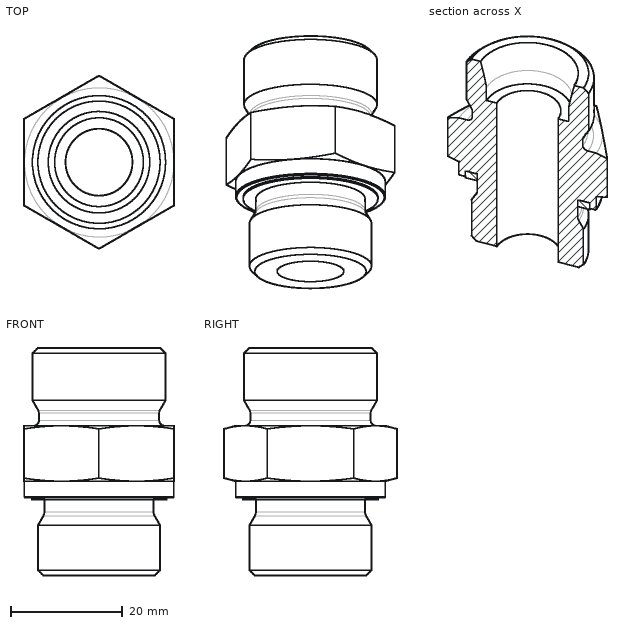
import cadquery as cq
import math

total_height = 41.0
hex_bottom = 16.97
hex_top = 26.98
collar_bottom = 14.0
seal_bottom = 13.7

hex_across_flats = 27.0
hex_face_diameter = 26.9
hex_chamfer_angle = 15.0
collar_diameter = 26.98
collar_chamfer = 0.2

upper_thread_diameter = 24.0
upper_thread_bottom = 31.53
upper_neck_diameter = 21.7
upper_neck_fillet = 1.0
upper_runout_fillet = 1.0

lower_thread_diameter = 22.0
lower_thread_top = 9.05
lower_neck_diameter = 19.7
lower_runout_fillet = 1.4
thread_chamfer = 1.0

runout_half_angle = 30.0

bore_diameter = 12.0
socket_diameter = 16.0
socket_depth = 8.5
cone_mouth_diameter = 18.3
cone_half_angle = 12.0

seal_diameter = 24.3
seal_groove_depth = 1.25


def cone_length(large_diameter, small_diameter, half_angle):
    """Axial length of a cone between two diameters."""
    return (large_diameter - small_diameter) / 2 / math.tan(math.radians(half_angle))


def disc(diameter, bottom, top):
    """Cylinder on the Z axis between two levels."""
    return cq.Workplane("XY", origin=(0, 0, bottom)).circle(diameter / 2).extrude(top - bottom)


def revolve_profile(points):
    """Solid of revolution about Z from (radius, z) points."""
    return cq.Workplane("XZ").polyline(points).close().revolve(360, (0, 0, 0), (0, 1, 0))


def make_thread_end(thread_diameter, neck_diameter, neck_length, runout_length, thread_length, runout_fillet):
    """Neck, run-out cone and chamfered thread, rising from z = 0."""
    neck_radius = neck_diameter / 2
    thread_radius = thread_diameter / 2
    runout_end = neck_length + runout_length
    end = runout_end + thread_length
    blank = revolve_profile([
        (0, 0),
        (neck_radius, 0),
        (neck_radius, neck_length),
        (thread_radius, runout_end),
        (thread_radius, end),
        (0, end),
    ])
    pick_margin = runout_length / 2
    runout_foot = cq.selectors.BoxSelector(
        (-thread_diameter, -thread_diameter, neck_length - pick_margin),
        (thread_diameter, thread_diameter, neck_length + pick_margin),
    )
    chamfered = blank.faces(">Z").edges().chamfer(thread_chamfer)
    return chamfered.edges("%CIRCLE").edges(runout_foot).fillet(runout_fillet)


def make_hexagon():
    """Hexagon with flats facing +X and -X and conical chamfers at both ends."""
    corner_diameter = hex_across_flats / math.cos(math.radians(30))
    prism = (
        cq.Workplane("XY", origin=(0, 0, hex_bottom))
        .polygon(6, corner_diameter)
        .extrude(hex_top - hex_bottom)
        .rotate((0, 0, 0), (0, 0, 1), 30)
    )
    face_radius = hex_face_diameter / 2
    corner_radius = corner_diameter / 2
    chamfer_height = (corner_radius - face_radius) * math.tan(math.radians(hex_chamfer_angle))
    envelope = revolve_profile([
        (0, hex_bottom),
        (face_radius, hex_bottom),
        (corner_radius, hex_bottom + chamfer_height),
        (corner_radius, hex_top - chamfer_height),
        (face_radius, hex_top),
        (0, hex_top),
    ])
    return prism.intersect(envelope)


def make_upper_end():
    """Tube-side thread with a concave fillet where its neck meets the hexagon."""
    runout_length = cone_length(upper_thread_diameter, upper_neck_diameter, runout_half_angle)
    neck_length = upper_thread_bottom - runout_length - hex_top
    thread_length = total_height - upper_thread_bottom
    end = make_thread_end(
        upper_thread_diameter, upper_neck_diameter, neck_length, runout_length, thread_length, upper_runout_fillet
    ).translate((0, 0, hex_top))
    neck_radius = upper_neck_diameter / 2
    foot_radius = neck_radius + upper_neck_fillet
    fillet_top = hex_top + upper_neck_fillet
    arc_offset = upper_neck_fillet * (1 - math.sqrt(0.5))
    foot = (
        cq.Workplane("XZ")
        .moveTo(0, hex_top)
        .lineTo(foot_radius, hex_top)
        .threePointArc((neck_radius + arc_offset, hex_top + arc_offset), (neck_radius, fillet_top))
        .lineTo(0, fillet_top)
        .close()
        .revolve(360, (0, 0, 0), (0, 1, 0))
    )
    return end.union(foot)


def make_lower_end():
    """Port-side thread, pointing down, with its neck reaching up to the hexagon."""
    runout_length = cone_length(lower_thread_diameter, lower_neck_diameter, runout_half_angle)
    neck_length = hex_bottom - lower_thread_top - runout_length
    return make_thread_end(
        lower_thread_diameter, lower_neck_diameter, neck_length, runout_length, lower_thread_top, lower_runout_fillet
    ).rotate((0, 0, 0), (1, 0, 0), 180).translate((0, 0, hex_bottom))


def make_bore():
    """Through bore, tube socket and conical mouth, as one cutting tool."""
    socket_radius = socket_diameter / 2
    bore_radius = bore_diameter / 2
    socket_floor = total_height - socket_depth
    cone_bottom = total_height - cone_length(cone_mouth_diameter, socket_diameter, cone_half_angle)
    return revolve_profile([
        (0, 0),
        (bore_radius, 0),
        (bore_radius, socket_floor),
        (socket_radius, socket_floor),
        (socket_radius, cone_bottom),
        (cone_mouth_diameter / 2, total_height),
        (0, total_height),
    ])


def make_seal_ring():
    """Flat ring around the lower neck that stands slightly below the collar."""
    seal_top = collar_bottom + seal_groove_depth
    ring = disc(seal_diameter, seal_bottom, seal_top)
    return ring.cut(disc(lower_neck_diameter, seal_bottom, seal_top))


def make_fitting(seal):
    """Double-ended screw fitting with a groove that matches the seal ring."""
    collar = disc(collar_diameter, collar_bottom, hex_bottom).faces("<Z").chamfer(collar_chamfer)
    collar = collar.cut(seal)
    body = make_hexagon().union(collar).union(make_lower_end()).union(make_upper_end())
    return body.cut(make_bore())


seal_ring = make_seal_ring()
fitting = make_fitting(seal_ring)

result = cq.Compound.makeCompound([fitting.solids().val(), seal_ring.solids().val()])